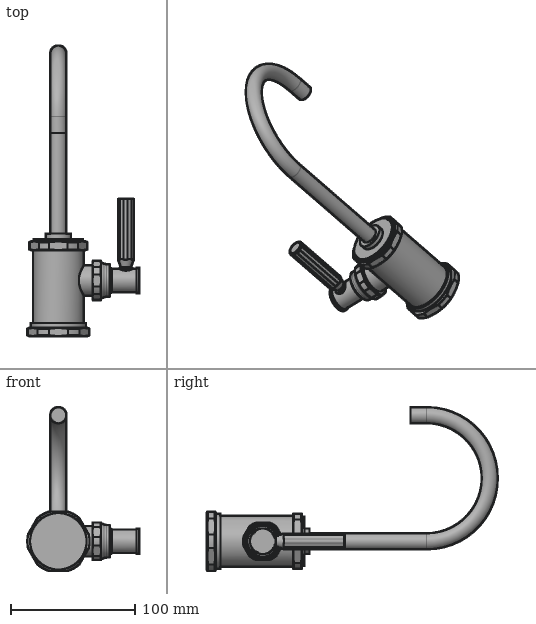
import cadquery as cq
import math


base_nut_height = 7.5
flange_radius = 22.3
flange_top = 11.0
body_radius = 20.5
body_top = 69.3
top_nut_height = 7.5
cap_radius = 20.0
cap_top = 78.7
collar_radius = 10.3
collar_top = 83.0

base_nut_radius = 25.0
base_nut_apothem = 24.0
base_nut_bevel = 2.3
top_nut_radius = 23.5
top_nut_apothem = 22.3
top_nut_bevel = 1.9
side_nut_radius = 16.0
side_nut_apothem = 15.2
side_nut_bevel = 1.0
bevel_slope = 0.5

overall_length = 234.3
overall_height = 132.0
tube_radius = 6.5
bend_radius = (overall_height - base_nut_apothem - tube_radius) / 2
tip_length = 13.1

valve_y = 45.2
branch_radius = 12.5
side_nut_start = 27.5
side_nut_height = 7.0
ring_start_radius = 14.5
ring_step_radius = 13.5
ring_radius = 13.1
ring_step_x = 36.8
ring_cone_end_x = 39.0
ring_end_x = 41.7
ring_chamfer = 0.7
stem_radius = 9.5
stem_lip_radius = 10.3
stem_cone_end_x = 43.0
stem_lip_start_x = 63.0
stem_end_x = 65.1

handle_x = 54.3
handle_radius = 6.5
handle_apothem = 6.3
handle_twist = 3.0
handle_foot_radius = 5.6
handle_foot_y = 54.5
handle_neck_radius = 4.2
handle_neck_y = 56.0
handle_grip_y = 62.3
handle_end_y = 111.3
handle_bevel = 1.5


def turned(profile):
    """Solid of revolution about Y; profile points are (radius, position along Y)."""
    start, end = profile[0][1], profile[-1][1]
    outline = [(0, start)] + profile + [(0, end)]
    return cq.Workplane("XY").polyline(outline).close().revolve(360, (0, 0), (0, 1))


def hex_bar(apothem, start, end):
    """Hexagonal prism along Y with two flats facing +Z and -Z."""
    corner_diameter = 2 * apothem / math.cos(math.pi / 6)
    section = cq.Workplane("XZ", origin=(0, start, 0)).polygon(6, corner_diameter)
    return section.extrude(start - end)


def hex_nut(radius, apothem, bevel, start, height):
    """Round nut blank along Y, bevelled at both ends and cut to six flats."""
    end = start + height
    bevel_height = bevel * bevel_slope
    blank = turned([
        (radius - bevel, start),
        (radius, start + bevel_height),
        (radius, end - bevel_height),
        (radius - bevel, end),
    ])
    return blank.intersect(hex_bar(apothem, start, end))


def make_body():
    """Stepped cylinder with a nut at the foot and another below the cap."""
    core = turned([
        (flange_radius, base_nut_height / 2),
        (flange_radius, flange_top),
        (body_radius, flange_top),
        (body_radius, body_top + top_nut_height / 2),
        (cap_radius, body_top + top_nut_height / 2),
        (cap_radius, cap_top),
        (collar_radius, cap_top),
        (collar_radius, collar_top),
    ])
    base_nut = hex_nut(base_nut_radius, base_nut_apothem, base_nut_bevel, 0, base_nut_height)
    top_nut = hex_nut(top_nut_radius, top_nut_apothem, top_nut_bevel, body_top, top_nut_height)
    return core.union(base_nut).union(top_nut)


def make_spout():
    """Straight riser, half-circle bend towards +Z and a short straight tip."""
    bend_y = overall_length - tube_radius - bend_radius
    path = (
        cq.Workplane("YZ")
        .moveTo(cap_top, 0)
        .lineTo(bend_y, 0)
        .threePointArc((bend_y + bend_radius, bend_radius), (bend_y, 2 * bend_radius))
        .lineTo(bend_y - tip_length, 2 * bend_radius)
    )
    section = cq.Workplane("XZ", origin=(0, cap_top, 0)).circle(tube_radius)
    return section.sweep(path)


def make_valve():
    """Branch, nut, tapered ring and stem, built along Y and then turned to +X."""
    side_nut_end = side_nut_start + side_nut_height
    core = turned([
        (branch_radius, 0),
        (branch_radius, side_nut_end),
        (ring_start_radius, side_nut_end),
        (ring_step_radius, ring_step_x),
        (ring_radius, ring_cone_end_x),
        (ring_radius, ring_end_x - ring_chamfer),
        (ring_radius - ring_chamfer, ring_end_x),
        (stem_lip_radius, ring_end_x),
        (stem_radius, stem_cone_end_x),
        (stem_radius, stem_lip_start_x),
        (stem_lip_radius, stem_lip_start_x),
        (stem_lip_radius, stem_end_x),
    ])
    nut = hex_nut(side_nut_radius, side_nut_apothem, side_nut_bevel, side_nut_start, side_nut_height)
    return core.union(nut).rotate((0, 0, 0), (0, 0, 1), -90).translate((0, valve_y, 0))


def make_handle():
    """Six-sided grip with rounded edges on a waisted neck."""
    blank = turned([
        (handle_foot_radius, valve_y),
        (handle_foot_radius, handle_foot_y),
        (handle_neck_radius, handle_neck_y),
        (handle_radius, handle_grip_y),
        (handle_radius, handle_end_y - handle_bevel * bevel_slope),
        (handle_radius - handle_bevel, handle_end_y),
    ])
    handle = blank.intersect(hex_bar(handle_apothem, valve_y, handle_end_y))
    return handle.rotate((0, 0, 0), (0, 1, 0), -handle_twist).translate((handle_x, 0, 0))


result = make_body().union(make_spout()).union(make_valve()).union(make_handle())